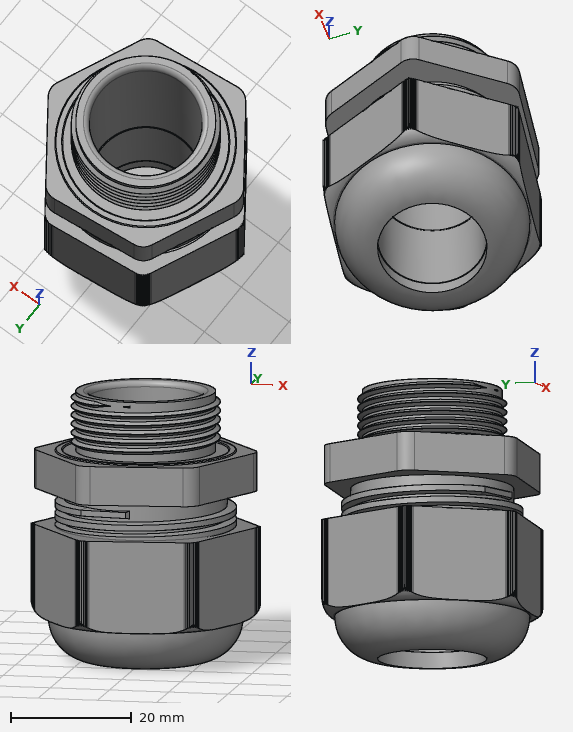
import cadquery as cq
import math

TOTAL_HEIGHT = 45.1
BODY_BOTTOM = 9.0
BODY_HEX_BOTTOM = 28.6
BODY_HEX_TOP = 35.1
CAP_TOP = 22.55
CAP_HEX_BOTTOM = 7.13

HEX_TURN = 6.3
CAP_ACROSS_FLATS = 33.0
BODY_ACROSS_FLATS = 32.75
CORNER_RADIUS = 2.98

SPIGOT_DIAMETER = 23.2
NECK_DIAMETER = 27.0
BORE_DIAMETER = 18.65
MOUTH_RADIUS = 1.0
BEAD_INNER_DIAMETER = 27.5
BEAD_OUTER_DIAMETER = 30.1
BEAD_HEIGHT = 0.2

SPIGOT_THREAD_DIAMETER = 24.7
SPIGOT_THREAD_PITCH = 1.5
SPIGOT_THREAD_BASE = 1.05
SPIGOT_THREAD_CREST = 0.1
SPIGOT_THREAD_TURNS = 5.55
SPIGOT_THREAD_END_HEIGHT = 44.2

NECK_THREAD_DIAMETER = 30.1
NECK_THREAD_PITCH = 2.0
NECK_THREAD_BASE = 1.55
NECK_THREAD_CREST = 1.0
NECK_THREAD_TURNS = 3.0
NECK_THREAD_END_HEIGHT = 26.4

RUNOUT_START_ANGLE = -124.0
RUNOUT_SPAN_ANGLE = 32.0
RUNOUT_END_RADIUS_RATIO = 0.95
THREAD_ROOT_OVERLAP = 0.2

RIDGES_PER_CORNER = 9
RIDGE_PITCH = 0.3
CAP_EDGE_RADIUS = 2.7
ENVELOPE_MARGIN = 0.1
DOME_DIAMETER = 32.35
DOME_RADIUS = CAP_HEX_BOTTOM
CAP_HOLE_DIAMETER = DOME_DIAMETER - 2 * DOME_RADIUS
CAP_BORE_DIAMETER = 27.9
CAP_BORE_FLOOR = 7.2

INSERT_OUTER_DIAMETER = 23.2
INSERT_INNER_DIAMETER = 18.3
INSERT_BOTTOM = 2.7
INSERT_TOP = 18.05


def cylinder(diameter, bottom, top):
    return cq.Workplane("XY").workplane(offset=bottom).circle(diameter / 2).extrude(top - bottom)


def corner_radius(across_flats):
    """Distance from the axis to a sharp corner of the hexagon."""
    return across_flats / math.sqrt(3)


def thread(root_diameter, crest_diameter, pitch, base, crest, turns, end_height):
    """Right-handed ridge and the straight runout that sinks from its end towards the cylinder."""
    root_radius = root_diameter / 2
    depth = crest_diameter / 2 - root_radius
    inner_radius = root_radius - THREAD_ROOT_OVERLAP
    inner_half = base / 2 + THREAD_ROOT_OVERLAP * (base - crest) / 2 / depth
    profile_points = [
        (inner_radius, -inner_half),
        (crest_diameter / 2, -crest / 2),
        (crest_diameter / 2, crest / 2),
        (inner_radius, inner_half),
    ]
    height = turns * pitch
    path = cq.Wire.makeHelix(pitch, height, root_radius)
    ridge = cq.Workplane("XZ").polyline(profile_points).close().sweep(cq.Workplane(path), isFrenet=True)
    ridge = ridge.rotate((0, 0, 0), (0, 0, 1), RUNOUT_START_ANGLE - 360 * turns)
    ridge = ridge.translate((0, 0, end_height - height))

    end_plane = cq.Plane(origin=(0, 0, end_height), xDir=(1, 0, 0), normal=(0, 1, 0))
    end_face = cq.Face.makeFromWires(cq.Workplane(end_plane).polyline(profile_points).close().val())
    span = math.radians(RUNOUT_SPAN_ANGLE)
    end_radius = RUNOUT_END_RADIUS_RATIO * crest_diameter / 2
    sink = crest_diameter / 2 - end_radius * math.cos(span)
    runout_length = end_radius * math.sin(span)
    rise = pitch * RUNOUT_SPAN_ANGLE / 360
    runout = cq.Solid.extrudeLinear(end_face, cq.Vector(-sink, runout_length, rise))
    runout = runout.rotate(cq.Vector(0, 0, 0), cq.Vector(0, 0, 1), RUNOUT_START_ANGLE)
    return ridge, runout


def make_spigot_thread():
    return thread(
        SPIGOT_DIAMETER,
        SPIGOT_THREAD_DIAMETER,
        SPIGOT_THREAD_PITCH,
        SPIGOT_THREAD_BASE,
        SPIGOT_THREAD_CREST,
        SPIGOT_THREAD_TURNS,
        SPIGOT_THREAD_END_HEIGHT,
    )


def make_neck_thread():
    return thread(
        NECK_DIAMETER,
        NECK_THREAD_DIAMETER,
        NECK_THREAD_PITCH,
        NECK_THREAD_BASE,
        NECK_THREAD_CREST,
        NECK_THREAD_TURNS,
        NECK_THREAD_END_HEIGHT,
    )


def make_bead():
    """Raised ring with sloping sides on the upper face of the body hexagon."""
    inner = BEAD_INNER_DIAMETER / 2
    outer = BEAD_OUTER_DIAMETER / 2
    top = BODY_HEX_TOP + BEAD_HEIGHT
    points = [
        (inner, BODY_HEX_TOP - BEAD_HEIGHT),
        (inner, BODY_HEX_TOP),
        (inner + BEAD_HEIGHT, top),
        (outer - BEAD_HEIGHT, top),
        (outer, BODY_HEX_TOP),
        (outer, BODY_HEX_TOP - BEAD_HEIGHT),
    ]
    return cq.Workplane("XZ").polyline(points).close().revolve(360, (0, 0, 0), (0, 1, 0))


def make_body(neck_thread):
    hexagon = (
        cq.Workplane("XY")
        .workplane(offset=BODY_HEX_BOTTOM)
        .polygon(6, 2 * corner_radius(BODY_ACROSS_FLATS))
        .extrude(BODY_HEX_TOP - BODY_HEX_BOTTOM)
        .edges("|Z")
        .fillet(CORNER_RADIUS)
        .rotate((0, 0, 0), (0, 0, 1), HEX_TURN)
    )
    spigot = cylinder(SPIGOT_DIAMETER, BODY_HEX_BOTTOM, TOTAL_HEIGHT)
    neck = cylinder(NECK_DIAMETER, BODY_BOTTOM, BODY_HEX_TOP)
    body = hexagon.union(make_bead()).union(spigot).union(neck)

    body = body.cut(cylinder(BORE_DIAMETER, BODY_BOTTOM, TOTAL_HEIGHT))
    mouth_edge = cq.selectors.RadiusNthSelector(0)
    body = body.faces(">Z").edges(mouth_edge).fillet(MOUTH_RADIUS)
    body = body.cut(cylinder(INSERT_OUTER_DIAMETER, BODY_BOTTOM, INSERT_TOP))

    for piece in make_spigot_thread() + neck_thread:
        body = body.union(piece)
    return body


def ridged_hexagon_points():
    """Hexagon outline whose corners are zigzags: peaks on the sharp hexagon, valleys on a round corner."""
    sharp = corner_radius(CAP_ACROSS_FLATS)
    arc_center = sharp - CORNER_RADIUS / math.cos(math.radians(30))
    slope = math.tan(math.radians(30))
    points = []
    for corner in range(6):
        angle = math.radians(HEX_TURN + 60 * corner)
        for step in range(-RIDGES_PER_CORNER, RIDGES_PER_CORNER + 1):
            across = step * RIDGE_PITCH / 2
            is_valley = (step + RIDGES_PER_CORNER) % 2 == 0
            if is_valley:
                out = arc_center + math.sqrt(CORNER_RADIUS**2 - across**2)
            else:
                out = sharp - abs(across) * slope
            x = out * math.cos(angle) - across * math.sin(angle)
            y = out * math.sin(angle) + across * math.cos(angle)
            points.append((x, y))
    return points


def make_cap(neck_thread):
    hexagon = (
        cq.Workplane("XY")
        .workplane(offset=CAP_HEX_BOTTOM)
        .polyline(ridged_hexagon_points())
        .close()
        .extrude(CAP_TOP - CAP_HEX_BOTTOM)
    )
    envelope_diameter = 2 * corner_radius(CAP_ACROSS_FLATS) + ENVELOPE_MARGIN
    envelope = cylinder(envelope_diameter, CAP_HEX_BOTTOM, CAP_TOP).faces("<Z").edges().fillet(CAP_EDGE_RADIUS)
    half_dome = (
        cq.Workplane("XZ")
        .moveTo(0, 0)
        .lineTo(CAP_HOLE_DIAMETER / 2, 0)
        .radiusArc((DOME_DIAMETER / 2, DOME_RADIUS), -DOME_RADIUS)
        .lineTo(0, DOME_RADIUS)
        .close()
    )
    dome = half_dome.revolve(360, (0, 0, 0), (0, 1, 0))
    neck_ridge, _ = neck_thread
    cavity = (
        cylinder(CAP_BORE_DIAMETER, CAP_BORE_FLOOR, CAP_TOP)
        .union(cylinder(INSERT_OUTER_DIAMETER, INSERT_BOTTOM, CAP_BORE_FLOOR))
        .union(cylinder(CAP_HOLE_DIAMETER, 0, INSERT_BOTTOM))
        .union(neck_ridge)
    )
    return hexagon.intersect(envelope).union(dome).cut(cavity)


def make_insert():
    sleeve = cylinder(INSERT_OUTER_DIAMETER, INSERT_BOTTOM, INSERT_TOP)
    return sleeve.cut(cylinder(INSERT_INNER_DIAMETER, INSERT_BOTTOM, INSERT_TOP))


neck_thread = make_neck_thread()
body = make_body(neck_thread)
cap = make_cap(neck_thread)
insert = make_insert()

result = cq.Compound.makeCompound([body.val(), cap.val(), insert.val()])